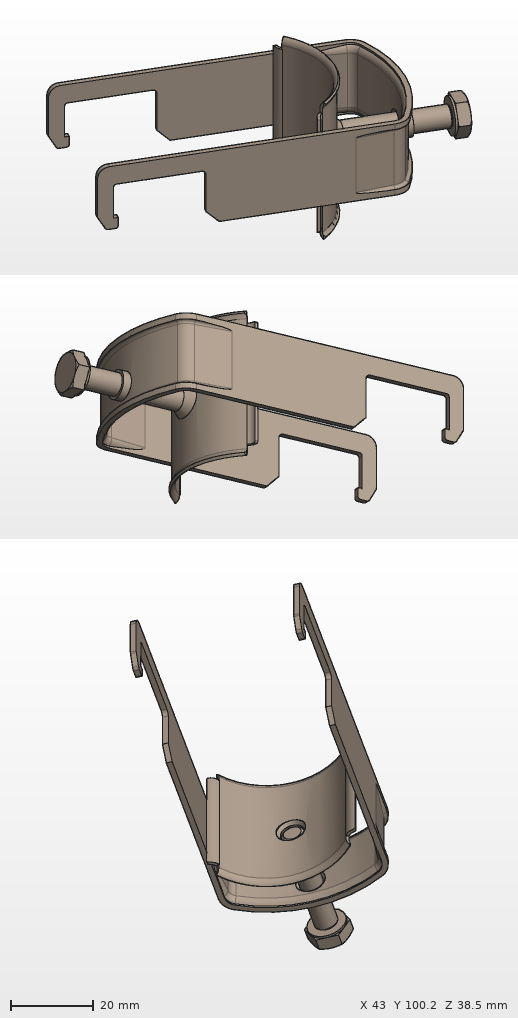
import cadquery as cq
import math


strap_width = 43.0
strap_thickness = 1.5
strap_height = 20.0
strap_bottom = -7.1
strap_top = strap_bottom + strap_height
strap_middle = (strap_bottom + strap_top) / 2
crown_y = 34.8
crown_radius = 40.1
corner_radius = 5.0
leg_tip_y = -50.1

arm_height = 5.2
arm_width = 4.1
slot_start_y = -22.4
slot_start_radius = 1.2
slot_end_radius = 0.8
leg_chamfer = 3.3
arm_corner_radius = 3.0
barb_length = 1.2
barb_top = -1.7
barb_bottom = -4.7
barb_radius = 0.8
barb_slope_width = 2.2
barb_slope_height = 3.8
barb_slope_radius = 1.0

bead_depth = 1.0
bead_taper_length = 10.0
bead_body_depth = 2.6
bead_recess_height = 16.8
bead_recess_radius = 0.8
bead_pad_height = bead_recess_height + 2 * strap_thickness
bead_pad_radius = bead_recess_radius + strap_thickness

collar_diameter = 7.5
collar_end_y = 35.8

bolt_diameter = 6.0
head_end_y = 50.1
head_across_flats = 10.0
head_height = 3.5
head_chamfer_angle = 30.0
washer_face_height = 0.6
neck_diameter = 5.4
neck_length = 0.3
bolt_tip_y = 16.4
bolt_tip_chamfer = 0.75

saddle_height = 38.5
saddle_thickness = 0.8
saddle_inner_y = 15.5
saddle_inner_radius = 21.2
saddle_half_angle = 49.5
saddle_width = 33.9
flare_radius = 2.2
flare_angle = 60.0
tab_height = 32.3
tab_tip_x = 18.8
tab_bend_radius = 3.4
tab_bend_angle = 56.0
tab_corner_radius = 0.5
tab_face_y = 6.7

dimple_diameter = 10.0
dimple_top_y = 18.2
dimple_depth = 2.6

mouth_diameter = 7.5
mouth_clearance = 0.8
strap_mouth_depth = 0.75
saddle_mouth_depth = 1.0


def crown_rail(depth):
    """Points of the right half of the crown at a depth below the strap's outer face.

    They are the crown's apex and end, then the middle and end of the corner arc.
    """
    half_width = strap_width / 2 - depth
    radius = crown_radius - depth
    corner = corner_radius - depth
    crown_center_y = crown_y - crown_radius
    corner_x = strap_width / 2 - corner_radius
    reach = crown_radius - corner_radius
    turn = math.asin(corner_x / reach)
    corner_y = crown_center_y + reach * math.cos(turn)
    corner_turn = (turn + math.pi / 2) / 2
    apex = (0, crown_center_y + radius)
    crown_end = (radius * math.sin(turn), crown_center_y + radius * math.cos(turn))
    corner_mid = (corner_x + corner * math.sin(corner_turn), corner_y + corner * math.cos(corner_turn))
    corner_end = (half_width, corner_y)
    return apex, crown_end, corner_mid, corner_end


def mirrored(point):
    return (-point[0], point[1])


def crown_band(face_depth, face_foot, base_depth, base_foot, height):
    """Band between two crown rails, with each leg running down to its foot points."""
    face_apex, face_end, face_corner, face_side = crown_rail(face_depth)
    base_apex, base_end, base_corner, base_side = crown_rail(base_depth)
    return (
        cq.Workplane("XY", origin=(0, 0, strap_middle - height / 2))
        .moveTo(*face_foot)
        .lineTo(*face_side)
        .threePointArc(face_corner, face_end)
        .threePointArc(face_apex, mirrored(face_end))
        .threePointArc(mirrored(face_corner), mirrored(face_side))
        .lineTo(*mirrored(face_foot))
        .lineTo(*mirrored(base_foot))
        .lineTo(*mirrored(base_side))
        .threePointArc(mirrored(base_corner), mirrored(base_end))
        .threePointArc(base_apex, base_end)
        .threePointArc(base_corner, base_side)
        .lineTo(*base_foot)
        .close()
        .extrude(height)
    )


def bead(face_depth, height, rim_radius):
    """Bead body whose inner face has rounded rims and fades outward along the legs."""
    base_depth = face_depth - bead_depth - bead_body_depth
    face_apex, _, face_corner, face_side = crown_rail(face_depth)
    foot_y = face_side[1] - bead_taper_length
    face_foot = (face_side[0] + bead_depth, foot_y)
    base_foot = (strap_width / 2 - base_depth, foot_y)
    taper_middle = ((face_side[0] + face_foot[0]) / 2, (face_side[1] + face_foot[1]) / 2)
    sides = [face_corner, mirrored(face_corner), taper_middle, mirrored(taper_middle)]
    body = crown_band(face_depth, face_foot, base_depth, base_foot, height)
    rims = []
    for z in (strap_middle - height / 2, strap_middle + height / 2):
        for x, y in [face_apex, *sides]:
            rims += body.edges(cq.selectors.NearestToPointSelector((x, y, z))).vals()
    return body.newObject(rims).fillet(rim_radius)


def filled_arch(depth):
    """The strap's outline at a depth below its outer face, filled between the legs."""
    apex, crown_end, corner_mid, side = crown_rail(depth)
    return (
        cq.Workplane("XY", origin=(0, 0, strap_bottom))
        .moveTo(side[0], leg_tip_y)
        .lineTo(*side)
        .threePointArc(corner_mid, crown_end)
        .threePointArc(apex, mirrored(crown_end))
        .threePointArc(mirrored(corner_mid), mirrored(side))
        .lineTo(-side[0], leg_tip_y)
        .close()
        .extrude(strap_height)
    )


def leg_outline():
    """Side outline of the strap with both hooks, extruded across the full width."""
    crown_limit = crown_y + strap_thickness
    slot_top = strap_top - arm_height
    slot_end_y = leg_tip_y + arm_width
    barb_y = slot_end_y + barb_length
    slope_y = leg_tip_y + barb_slope_width
    profile = (
        cq.Workplane("YZ", origin=(-strap_width / 2, 0, 0))
        .moveTo(crown_limit, strap_top)
        .lineTo(leg_tip_y, strap_top)
        .lineTo(leg_tip_y, barb_bottom + barb_slope_height)
        .lineTo(slope_y, barb_bottom)
        .lineTo(barb_y, barb_bottom)
        .lineTo(barb_y, barb_top)
        .lineTo(slot_end_y, barb_top)
        .lineTo(slot_end_y, slot_top)
        .lineTo(slot_start_y, slot_top)
        .lineTo(slot_start_y, strap_bottom + leg_chamfer)
        .lineTo(slot_start_y + leg_chamfer, strap_bottom)
        .lineTo(crown_limit, strap_bottom)
        .close()
        .extrude(strap_width)
    )
    roundings = [
        (leg_tip_y, strap_top, arm_corner_radius),
        (leg_tip_y, barb_bottom + barb_slope_height, barb_slope_radius),
        (slope_y, barb_bottom, barb_slope_radius),
        (barb_y, barb_bottom, barb_radius),
        (slot_end_y, slot_top, slot_end_radius),
        (slot_start_y, slot_top, slot_start_radius),
    ]
    for y, z, radius in roundings:
        profile = profile.edges(cq.selectors.NearestToPointSelector((0, y, z))).fillet(radius)
    return profile


def y_cylinder(diameter, start_y, end_y):
    return cq.Workplane("XZ", origin=(0, start_y, 0)).circle(diameter / 2).extrude(start_y - end_y)


def y_cone(start_diameter, end_diameter, start_y, end_y):
    """Cone frustum on the bolt axis, running toward +Y."""
    cone = cq.Solid.makeCone(
        start_diameter / 2,
        end_diameter / 2,
        end_y - start_y,
        cq.Vector(0, start_y, 0),
        cq.Vector(0, 1, 0),
    )
    return cq.Workplane(cone)


def bolt_hole(mouth_y, taper_depth, end_y):
    """Cutter for a bolt hole with a tapered mouth, open below the face at mouth_y."""
    bore_start_y = mouth_y + taper_depth
    return (
        cq.Workplane("XY")
        .moveTo(0, mouth_y - mouth_clearance)
        .lineTo(mouth_diameter / 2, mouth_y - mouth_clearance)
        .lineTo(mouth_diameter / 2, mouth_y)
        .lineTo(bolt_diameter / 2, bore_start_y)
        .lineTo(bolt_diameter / 2, end_y)
        .lineTo(0, end_y)
        .close()
        .revolve(360, (0, 0), (0, 1))
    )


def make_strap():
    pad = bead(strap_thickness + bead_depth, bead_pad_height, bead_pad_radius)
    recess = bead(bead_depth, bead_recess_height, bead_recess_radius)
    cavity = filled_arch(strap_thickness).cut(pad)
    band = filled_arch(0).cut(cavity).cut(recess).intersect(leg_outline())
    inner_crown_y = crown_y - bead_depth - strap_thickness
    collar = y_cylinder(collar_diameter, inner_crown_y + strap_thickness / 2, collar_end_y)
    hole = bolt_hole(inner_crown_y, strap_mouth_depth, collar_end_y)
    return band.union(collar).cut(hole)


def make_bolt():
    head_base_y = head_end_y - head_height
    seat_y = head_base_y - washer_face_height
    neck_y = seat_y - neck_length
    across_corners = head_across_flats / math.cos(math.pi / 6)
    head = (
        cq.Workplane("XZ", origin=(0, head_base_y, 0))
        .polygon(6, across_corners)
        .extrude(-head_height)
    )
    cone_base = head_across_flats + 2 * head_height / math.tan(math.radians(head_chamfer_angle))
    head = head.intersect(y_cone(cone_base, head_across_flats, head_base_y, head_end_y))
    washer_face = y_cylinder(head_across_flats, seat_y, head_base_y)
    neck = y_cylinder(neck_diameter, neck_y, seat_y)
    shank = y_cylinder(bolt_diameter, bolt_tip_y, neck_y).faces("<Y").chamfer(bolt_tip_chamfer)
    return head.union(washer_face).union(neck).union(shank)


def saddle_sheet():
    """Arched sheet: its upright section with flared rims, turned about the arch axis."""
    axis_y = saddle_inner_y - saddle_inner_radius
    flare = math.radians(flare_angle)
    straight_z = saddle_height / 2 - flare_radius * math.sin(flare)
    flare_center = saddle_inner_radius + flare_radius

    def flare_point(radius, angle):
        return (flare_center - radius * math.cos(angle), straight_z + radius * math.sin(angle))

    outer_radius = flare_radius - saddle_thickness
    half = (
        cq.Workplane("XZ")
        .moveTo(saddle_inner_radius, 0)
        .lineTo(*flare_point(flare_radius, 0))
        .threePointArc(flare_point(flare_radius, flare / 2), flare_point(flare_radius, flare))
        .lineTo(*flare_point(outer_radius, flare))
        .threePointArc(flare_point(outer_radius, flare / 2), flare_point(outer_radius, 0))
        .lineTo(saddle_inner_radius + saddle_thickness, 0)
        .close()
        .revolve(2 * saddle_half_angle, (0, 0), (0, 1))
    )
    half = half.rotate((0, 0, 0), (0, 0, 1), 90 - saddle_half_angle).translate((0, axis_y, 0))
    sheet = half.union(half.mirror("XY"))
    trim_depth = 2 * flare_center
    return sheet.intersect(cq.Workplane("XY").box(saddle_width, trim_depth, saddle_height))


def saddle_tab():
    """Tab along the +X side: bent outward from the arch until its lip lies along X."""
    bend = math.radians(tab_bend_angle)
    center_y = tab_face_y + tab_bend_radius
    inner_radius = tab_bend_radius - saddle_thickness

    def bend_point(radius, angle):
        return (tab_tip_x - radius * math.sin(angle), center_y - radius * math.cos(angle))

    tab = (
        cq.Workplane("XY", origin=(0, 0, -tab_height / 2))
        .moveTo(*bend_point(tab_bend_radius, 0))
        .threePointArc(bend_point(tab_bend_radius, bend / 2), bend_point(tab_bend_radius, bend))
        .lineTo(*bend_point(inner_radius, bend))
        .threePointArc(bend_point(inner_radius, bend / 2), bend_point(inner_radius, 0))
        .close()
        .extrude(tab_height)
    )
    return tab.faces(">X").edges("|Y").fillet(tab_corner_radius)


def make_saddle():
    dimple_base_y = dimple_top_y - dimple_depth
    dimple = y_cone(dimple_diameter, bolt_diameter, dimple_base_y, dimple_top_y)
    socket = bolt_hole(saddle_inner_y, saddle_mouth_depth, dimple_top_y)
    tab = saddle_tab()
    sheet = saddle_sheet().union(tab).union(tab.mirror("YZ"))
    return sheet.union(dimple).cut(socket)


def make_clamping_screw():
    """The bolt and the saddle fixed on its tip form one body."""
    return make_bolt().union(make_saddle())


strap = make_strap().solids()
clamping_screw = make_clamping_screw().solids()

result = cq.Compound.makeCompound([strap.val(), clamping_screw.val()])